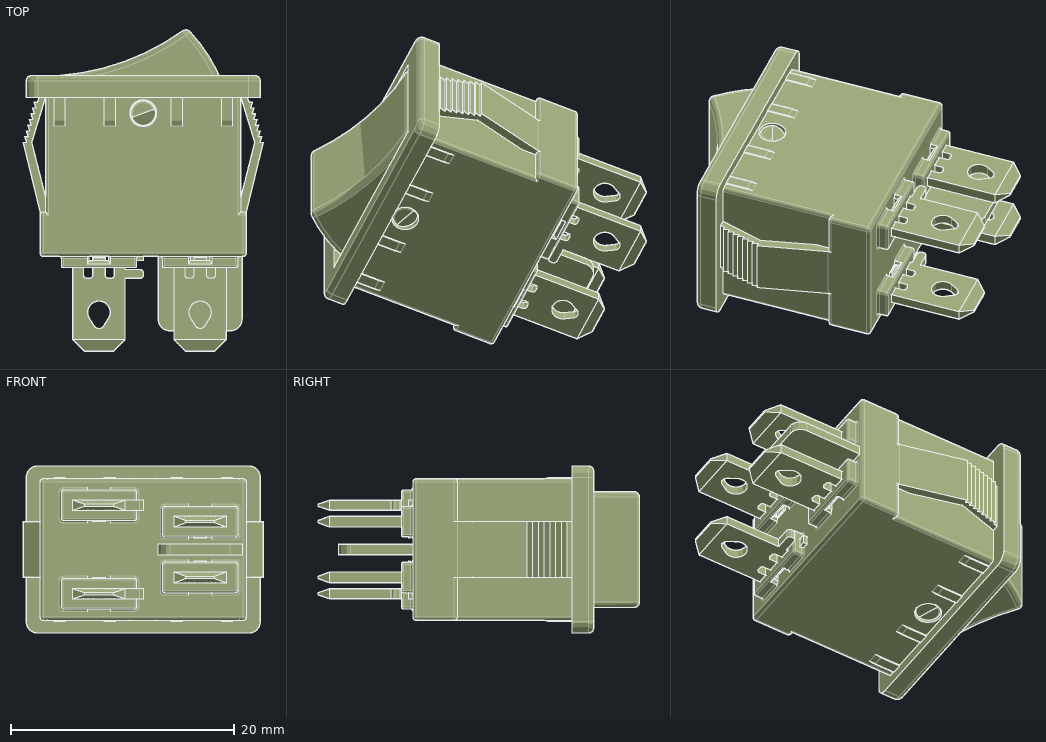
import cadquery as cq
import math


bezel_length = 21.0
bezel_width = 15.0
bezel_thick = 1.98
bezel_corner = 1.05
bezel_round = 0.5

body_length = 18.5
body_width = 12.7
body_depth = 14.25
body_round = 0.3
waist_length = 17.5
waist_depth = 10.26
waist_round = 0.28

cavity_length = 16.0
cavity_width = 10.8
cavity_depth = 6.4

rib_width = 1.0
rib_height = 0.1
rib_flat = 2.0
rib_reach = 2.55
rib_spacing = (-7.5, -3.0, 3.0, 7.5)

clip_width = 5.0
clip_peak_x = 10.77
clip_root_x = 9.35
clip_inner_peak_x = 9.98
clip_inner_end = 8.9
tooth_count = 8
tooth_start = 0.42
tooth_pitch = 0.515
tooth_advance = 0.138
tooth_step = 0.31

rocker_width = 10.4
rocker_round = 0.5
rocker_tilt = 20.0
rocker_tip_x = 6.25
rocker_tip_y = 5.85
rocker_dish = 0.92
rocker_side_x = 7.6
rocker_side_radius = 12.5
rocker_base = 1.5
pivot_y = -1.4
pin_radius = 1.1
pin_round = 0.12
pin_recess = 0.1
pin_slope = 20.0
pin_hole_radius = 1.2

terminal_width = 4.7
terminal_reach = 8.5
terminal_root = 1.0
tip_length = 1.05
tip_thick = 0.2
slot_width = 0.8
slot_offset = 0.97
slot_end = 1.93
slot_corner = 0.25
hook_start = 0.1
hook_bevel = 0.15
hook_overhang = 0.08
eye_y = 5.0
eye_radius = 1.0
eye_small_radius = 0.5
eye_spacing = 0.95
tongue_start = 1.15
tongue_end = 1.97
tongue_reach = 4.0
tongue_round = 0.35
shoulder_height = 0.37

left_x, left_z, left_thick = -3.97, 3.97, 0.92
right_x, right_z, right_thick = 5.1, 2.5, 1.0
terminal_places = [
    (left_x, left_z, left_thick, True),
    (left_x, -left_z, left_thick, True),
    (right_x, right_z, right_thick, False),
    (right_x, -right_z, right_thick, False),
]

collar_length = 6.75
collar_width = 2.75
collar_height = 1.0
collar_corner = 0.2
collar_rim = 0.15
collar_flare = 0.2
window_width = 1.75
window_height = 0.37
window_bevel = 0.3
window_side_bevel = 0.17

tab_width = 7.55
tab_reach = 6.67
tab_thick = 0.95
tab_corner = 1.08

body_end = -body_depth


def block(x0, x1, y0, y1, z0, z1):
    """Box between the given limits."""
    return cq.Workplane("XY").box(x1 - x0, y1 - y0, z1 - z0, centered=False).translate((x0, y0, z0))


def centred_block(length, y0, y1, width):
    """Box centred on X and Z that runs from y0 to y1."""
    return block(-length / 2, length / 2, y0, y1, -width / 2, width / 2)


def slab(profile, thickness):
    """Extrude a closed XY profile evenly about Z = 0."""
    return profile.extrude(thickness / 2, both=True)


def rocker_profile():
    """Symmetric outline about the pivot: dished top and bulged sides."""
    side_centre_x = rocker_side_x - rocker_side_radius

    def side_x(y):
        return side_centre_x + math.sqrt(rocker_side_radius**2 - y**2)

    mid_y = rocker_tip_y / 2
    return (
        cq.Workplane("XY")
        .moveTo(-rocker_tip_x, rocker_tip_y)
        .threePointArc((0, rocker_tip_y - rocker_dish), (rocker_tip_x, rocker_tip_y))
        .threePointArc((side_x(mid_y), mid_y), (side_x(-rocker_base), -rocker_base))
        .lineTo(-side_x(-rocker_base), -rocker_base)
        .threePointArc((-side_x(mid_y), mid_y), (-rocker_tip_x, rocker_tip_y))
        .close()
    )


def pivot_pins():
    """Pin through the rocker whose ends fall away on the -Y half."""
    half_length = body_width / 2 - pin_recess
    pin = cq.Workplane("XY").circle(pin_radius).extrude(half_length, both=True)
    pin = pin.faces("|Z").edges().fillet(pin_round)
    drop = 2 * pin_radius * math.tan(math.radians(pin_slope))
    for side in (1, -1):
        wedge = (
            cq.Workplane("YZ")
            .moveTo(0, side * half_length)
            .lineTo(-2 * pin_radius, side * half_length)
            .lineTo(-2 * pin_radius, side * (half_length - drop))
            .close()
            .extrude(2 * pin_radius, both=True)
        )
        pin = pin.cut(wedge)
    return pin


def make_rocker():
    rocker = slab(rocker_profile(), rocker_width)
    rocker = rocker.edges("not(<Y)").fillet(rocker_round)
    rocker = rocker.union(pivot_pins())
    return rocker.rotate((0, 0, 0), (0, 0, 1), rocker_tilt).translate((0, pivot_y, 0))


def terminal_eye(thickness):
    """Teardrop cutter: two circles joined by their common tangents."""
    lean = math.asin((eye_radius - eye_small_radius) / eye_spacing)
    small_y = -eye_y - eye_spacing

    def tangent(radius, centre_y, side):
        return side * radius * math.cos(lean), centre_y - radius * math.sin(lean)

    profile = (
        cq.Workplane("XY")
        .moveTo(*tangent(eye_radius, -eye_y, -1))
        .threePointArc((0, -eye_y + eye_radius), tangent(eye_radius, -eye_y, 1))
        .lineTo(*tangent(eye_small_radius, small_y, 1))
        .threePointArc((0, small_y - eye_small_radius), tangent(eye_small_radius, small_y, -1))
        .close()
    )
    return slab(profile, 2 * thickness)


def blade_tip(thickness):
    """Tip that narrows in both width and thickness."""
    return (
        cq.Workplane("XZ", origin=(0, tip_length - terminal_reach, 0))
        .rect(terminal_width, thickness)
        .workplane(offset=tip_length)
        .rect(terminal_width - 2 * tip_length, tip_thick)
        .loft(ruled=True)
    )


def make_terminal(thickness, has_tongue):
    """Terminal with the end face of the housing at Y = 0 and its blade along -Y."""
    half_thick = thickness / 2

    terminal = centred_block(terminal_width, tip_length - terminal_reach, terminal_root, thickness)
    terminal = terminal.union(blade_tip(thickness))

    if has_tongue:
        tongue = block(0, tongue_reach, -tongue_end, -tongue_start, -half_thick, half_thick)
        tongue = tongue.edges("|Z and >X").fillet(tongue_round)
        shoulder = block(0, tongue_reach, -shoulder_height, terminal_root, -half_thick, half_thick)
        terminal = terminal.union(tongue).union(shoulder)

    for side in (-1, 1):
        slot = centred_block(slot_width, -slot_end, terminal_root, thickness)
        slot = slot.edges("|Z and <Y").fillet(slot_corner)
        terminal = terminal.cut(slot.translate((side * slot_offset, 0, 0)))

    strip_width = 2 * slot_offset
    strip_gap = centred_block(strip_width, -window_height, terminal_root, thickness)
    hook_z = collar_width / 2 + hook_overhang
    hook = (
        cq.Workplane("YZ")
        .polyline([
            (-window_height, half_thick),
            (-hook_start, half_thick),
            (-hook_start, hook_bevel - hook_z),
            (-hook_start - hook_bevel, -hook_z),
            (-window_height, -hook_z),
        ])
        .close()
        .extrude(slot_offset - slot_width / 2, both=True)
    )
    return terminal.cut(strip_gap).union(hook).cut(terminal_eye(thickness))


def housing_body():
    lower = centred_block(body_length, body_end, -waist_depth, body_width)
    lower = lower.edges("|Y or <Y").fillet(body_round)
    lower = lower.edges(">Y and |Z").fillet(waist_round)
    waist = centred_block(waist_length, -waist_depth - waist_round, 0, body_width)
    return lower.union(waist.edges("|Y").fillet(waist_round))


def bezel():
    plate = centred_block(bezel_length, 0, bezel_thick, bezel_width)
    plate = plate.edges("|Y").fillet(bezel_corner)
    return plate.faces(">Y").edges().fillet(bezel_round)


def panel_ribs():
    """Low ribs with a sloped end on both wide faces."""
    base_z = body_width / 2
    profile = (
        cq.Workplane("YZ")
        .moveTo(0, base_z - rib_height)
        .lineTo(0, base_z + rib_height)
        .lineTo(-rib_flat, base_z + rib_height)
        .lineTo(-rib_reach, base_z)
        .lineTo(-rib_reach, base_z - rib_height)
        .close()
    )
    rib = profile.extrude(rib_width / 2, both=True)
    ribs = cq.Workplane("XY")
    for x in rib_spacing:
        upper = rib.translate((x, 0, 0))
        ribs = ribs.union(upper).union(upper.mirror("XY"))
    return ribs


def snap_clip():
    """Bent spring clip on the +X side with saw teeth on its upper outer face."""
    wall_x = waist_length / 2
    peak_y = -tooth_start - (tooth_count - 1) * tooth_pitch
    points = [(wall_x, 0), (clip_root_x, 0)]
    for tooth in range(tooth_count):
        y = -tooth_start - tooth * tooth_pitch
        peak_x = clip_peak_x - (tooth_count - 1 - tooth) * tooth_advance
        points.append((peak_x - tooth_step, y))
        points.append((peak_x, y))
    points += [
        (body_length / 2, -waist_depth),
        (body_length / 2, -waist_depth - waist_round),
        (wall_x, -waist_depth - waist_round),
        (wall_x, -clip_inner_end),
        (clip_inner_peak_x, peak_y),
    ]
    return slab(cq.Workplane("XY").polyline(points).close(), clip_width)


def collar_window_funnel():
    """Cutter that widens the +Z mouth of a collar window and clears the flare before it."""
    mouth_width = window_width + 2 * window_side_bevel
    mouth_height = window_height + window_bevel
    mouth_z = collar_width / 2
    taper = (
        cq.Workplane("XY", origin=(0, 0, mouth_z - window_bevel))
        .rect(window_width, 2 * window_height)
        .workplane(offset=window_bevel)
        .rect(mouth_width, 2 * mouth_height)
        .loft(ruled=True)
    )
    clearance = block(
        -mouth_width / 2, mouth_width / 2, -mouth_height, mouth_height, mouth_z, mouth_z + 2 * collar_flare
    )
    return taper.union(clearance)


def collar():
    """Raised collar with a flared foot and a window across it at the foot."""
    ring = centred_block(collar_length, -collar_height, 0, collar_width)
    ring = ring.edges("|Y").fillet(collar_corner)
    ring = ring.faces("<Y").edges().fillet(collar_rim)

    plate_length = collar_length + 4 * collar_flare
    plate_width = collar_width + 4 * collar_flare
    plate = centred_block(plate_length, 0, collar_flare, plate_width)
    foot_edges = cq.selectors.BoxSelector(
        (-collar_length / 2 - collar_flare / 2, -collar_flare / 2, -collar_width / 2 - collar_flare / 2),
        (collar_length / 2 + collar_flare / 2, collar_flare / 2, collar_width / 2 + collar_flare / 2),
    )
    flared = ring.union(plate).edges(foot_edges).fillet(collar_flare)
    ring = flared.cut(plate)

    window = centred_block(window_width, -window_height, window_height, plate_width)
    funnel = collar_window_funnel()
    return ring.cut(window).cut(funnel).cut(funnel.mirror("XY"))


def barrier_tab():
    tab = centred_block(tab_width, body_end - tab_reach, body_end + body_round, tab_thick)
    return tab.edges("|Z and <Y").fillet(tab_corner).translate((right_x, 0, 0))


def make_housing(terminals):
    clip = snap_clip()
    housing = housing_body().union(bezel()).union(panel_ribs())
    housing = housing.union(clip).union(clip.mirror("YZ")).union(barrier_tab())
    for x, z, _, _ in terminal_places:
        housing = housing.union(collar().translate((x, body_end, z)))
    housing = housing.cut(centred_block(cavity_length, -cavity_depth, bezel_thick, cavity_width))
    pin_hole = cq.Workplane("XY").center(0, pivot_y).circle(pin_hole_radius)
    housing = housing.cut(slab(pin_hole, bezel_width))
    for terminal in terminals:
        housing = housing.cut(terminal)
    return housing


terminals = []
for x, z, thickness, has_tongue in terminal_places:
    terminal = make_terminal(thickness, has_tongue)
    if z < 0:
        terminal = terminal.mirror("XY")
    terminals.append(terminal.translate((x, body_end, z)))

housing = make_housing(terminals)
rocker = make_rocker()

result = cq.Compound.makeCompound([
    housing.solids().val(),
    rocker.solids().val(),
    *[terminal.solids().val() for terminal in terminals],
])